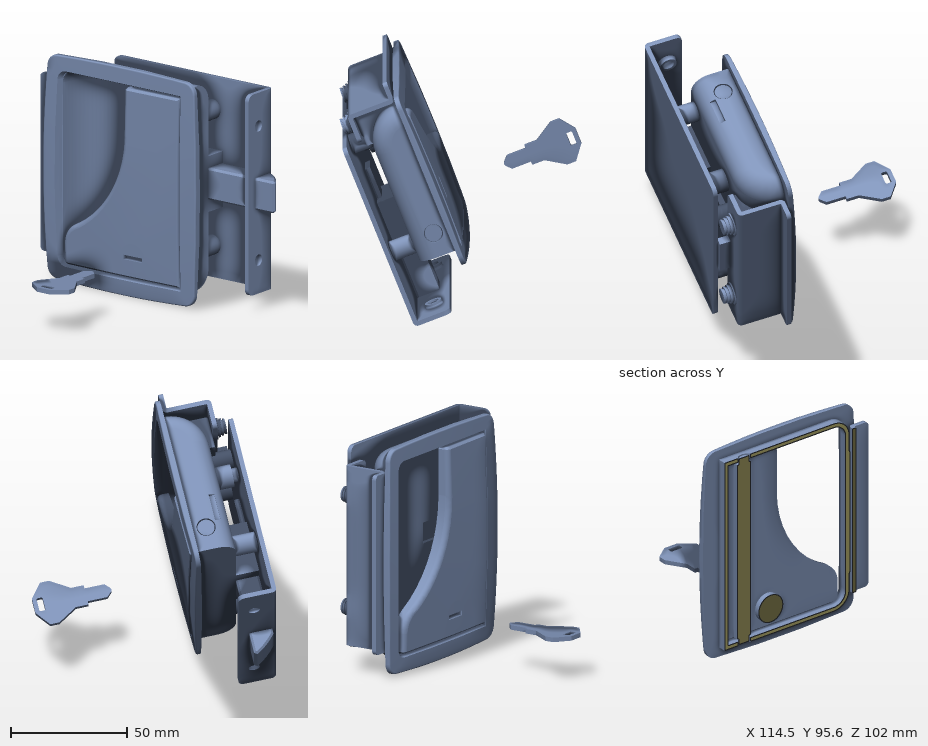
import cadquery as cq
import math


frame_half_x = 39.7
frame_half_z = 49.8
frame_bulge_x = 1.9
frame_bulge_z = 51.0 - frame_half_z
frame_corner = 5.5
frame_edge_round = 0.7
frame_depth = 4.0
crown_radius = 1000.0

pan_left = -35.1
pan_right = 33.0
pan_half_z = 45.6
pan_depth = 17.0
pan_side_radius = 16.9
pan_edge_radius = 8.1
pan_wall = 2.0
cavity_half_z = 43.6

opening_left = -34.3
opening_half_z = 44.3
opening_bulge = 0.9
opening_corner = 5.0
opening_taper = 22.0

handle_right = 32.3
handle_half_z = 42.3
handle_depth = 4.4
handle_back = 1.5
handle_rebate = 1.7
handle_upper_left = 2.7
handle_lower_left = -30.3
handle_bend_top_z = 20.9
handle_bend_start = (-24.7, -23.9)
handle_bend_end_z = -33.2
handle_grip_round = 2.2
handle_bevel = 0.9

hinge_x = 22.4
hinge_y = 6.3
hinge_radius = 3.7
hinge_hole_radius = 4.1
hinge_half_length = 45.2

lock_x = 7.9
lock_z = -33.15
lock_radius = 6.6
lock_back = 12.0
key_thickness = 2.0
keyway_width = 10.0
keyway_depth = 3.0
key_tip_y = -32.05

sheet = 2.0
plate_back = 29.2
plate_front = plate_back - sheet
plate_left = -26.2
plate_right = 58.5
plate_half_z = 44.9
plate_corner = 3.0
plate_bend = 2.0
flange_front = 12.3
flange_inner = plate_right - sheet

collar_y = 19.2
collar_z = 30.0
collar_height = 2.0
collar_base_radius = 4.1
collar_tip_radius = 3.75
collar_hole_radius = 2.5

bracket_left = -46.0
bracket_half_z = 39.9
bracket_lip_front = 0.9
bracket_web_left = -38.4
bracket_foot_right = -25.1
bracket_bend = 2.0
bracket_corner = 2.0
seat_y = 20.3
seat_right = -20.3
seat_half_z = 30.0
seat_round = 1.0
tab_left = -28.6
tab_half_z = 9.45

screw_x = -31.0
screw_z = 25.0
screw_shank_radius = 2.5
screw_depth = 6.0
screw_flange_radius = 5.0
screw_flange_height = 0.6
screw_ridges = 3
screw_ridge_radius = 4.2
screw_ridge_step = 0.4
screw_groove_depth = 0.4

bolt_half_z = 7.15
bolt_tip = 68.5
bolt_slope_start = 60.6
bolt_nose = 1.3
bolt_slope_bow = 0.4
bolt_edge = 0.9
bolt_tail_left = -4.6
bolt_tail_thickness = 2.3
bolt_tail_edge = 0.7
guide_left = 9.4
guide_half_z = 12.5

post_radius = 4.4
post_places = [(27.2, 30.3), (27.2, -30.3), (-19.0, 16.5), (-20.6, -18.6)]
pivot_place = (-7.7, 25.0)
pivot_radius = 5.0
pivot_stud_radius = 3.1
pivot_shoulder_y = 24.6
ledge_y = 19.6
ledge_left = -20.3
ledge_half_z = 9.0

window_left = 10.7
window_right = 24.0
window_half_z = 4.6
slot_left = 7.6
slot_right = 19.9
slot_front = 10.8
slot_back = 13.3
slot_floor_z = 43.8


def block(x0, x1, y0, y1, z0, z1):
    """Box given by its limits on each axis."""
    return cq.Workplane("XY").box(x1 - x0, y1 - y0, z1 - z0, centered=False).translate((x0, y0, z0))


def rod(x, z, radius, y0, y1):
    """Round bar along Y from y0 to y1."""
    return cq.Workplane("XZ", origin=(x, y0, z)).circle(radius).extrude(-(y1 - y0))


def upright(x, y, radius, half_length):
    """Round bar along Z, centred on Z = 0."""
    return cq.Workplane("XY", origin=(x, y, -half_length)).circle(radius).extrude(2 * half_length)


def crown(front):
    """Large ball whose foremost point lies at Y = -front."""
    return cq.Workplane("XY", origin=(0, crown_radius - front, 0)).sphere(crown_radius)


def make_frame():
    """Bulged rim with rounded corners and a crowned front."""
    x, z = frame_half_x, frame_half_z
    rim = (
        cq.Workplane("XZ")
        .moveTo(-x, -z)
        .threePointArc((0, -z - frame_bulge_z), (x, -z))
        .threePointArc((x + frame_bulge_x, 0), (x, z))
        .threePointArc((0, z + frame_bulge_z), (-x, z))
        .threePointArc((-x - frame_bulge_x, 0), (-x, -z))
        .close()
        .extrude(frame_depth)
        .edges("|Y")
        .fillet(frame_corner)
        .intersect(crown(frame_depth))
    )
    return rim.faces("<Y").edges().fillet(frame_edge_round)


def make_pan_form(left, right, depth, half_z, side_radius, edge_radius):
    """Pan-shaped solid: swept round on the left side and rounded along the top and bottom."""
    mid = side_radius * (1 - math.sqrt(0.5))
    form = (
        cq.Workplane("XY", origin=(0, 0, -half_z))
        .moveTo(left, 0)
        .lineTo(left, depth - side_radius)
        .threePointArc((left + mid, depth - mid), (left + side_radius, depth))
        .lineTo(right, depth)
        .lineTo(right, 0)
        .close()
        .extrude(2 * half_z)
    )
    back_edges = cq.selectors.BoxSelector(
        (left - 1, 1, -half_z - 1), (right - 1, depth + 1, half_z + 1)
    )
    return form.faces("|Z").edges(back_edges).edges("not <Y").fillet(edge_radius)


def make_opening():
    """Tapered front opening with a bulged left side and a straight right side."""
    left, z = opening_left, opening_half_z
    spare = 5.0
    tapered = (
        cq.Workplane("XZ", origin=(0, -frame_depth, 0))
        .sketch()
        .segment((pan_right + spare, -z), (pan_right + spare, z))
        .segment((left, z))
        .arc((left - opening_bulge, 0), (left, -z))
        .close()
        .assemble()
        .vertices("<X")
        .fillet(opening_corner)
        .finalize()
        .extrude(-frame_depth, taper=opening_taper)
    )
    return tapered.intersect(block(left - spare, pan_right, -frame_depth, 0, -z, z))


def make_housing():
    """Frame, pan, bracket seat, bolt guide and posts as one casting."""
    pan = make_pan_form(pan_left, pan_right, pan_depth, pan_half_z, pan_side_radius, pan_edge_radius)
    seat = block(pan_left, seat_right, 0, seat_y, -seat_half_z, seat_half_z)
    seat = seat.edges("(|Y or >Y) and (not >X)").fillet(seat_round)
    post_root = pan_depth - pan_wall
    ledge = block(ledge_left, guide_left, post_root, ledge_y, -ledge_half_z, ledge_half_z)
    guide = block(guide_left, pan_right, post_root, plate_front, -guide_half_z, guide_half_z)
    body = make_frame().union(pan).union(seat).union(ledge).union(guide)

    for x, z in post_places:
        body = body.union(rod(x, z, post_radius, post_root, plate_front))
    body = body.union(rod(*pivot_place, pivot_radius, post_root, pivot_shoulder_y))
    body = body.union(rod(*pivot_place, pivot_stud_radius, post_root, plate_front))

    cavity = make_pan_form(
        pan_left + pan_wall,
        pan_right - pan_wall,
        pan_depth - pan_wall,
        cavity_half_z,
        pan_side_radius - pan_wall,
        pan_edge_radius - pan_wall,
    )
    bolt_way = block(guide_left, pan_right, pan_depth, plate_front, -bolt_half_z, bolt_half_z)
    window = block(window_left, window_right, 0, pan_depth, -window_half_z, window_half_z)
    slot = block(slot_left, slot_right, slot_front, slot_back, slot_floor_z, pan_half_z)
    hinge_hole = upright(hinge_x, hinge_y, hinge_hole_radius, pan_half_z)
    for cutter in (cavity, make_opening(), bolt_way, window, slot, hinge_hole):
        body = body.cut(cutter)
    for side in (-1, 1):
        body = body.cut(rod(screw_x, side * screw_z, screw_shank_radius, seat_y - screw_depth, seat_y))
    return body


def make_handle():
    """Paddle with a swept grip edge and a hinge barrel behind it."""
    bend_x, bend_z = handle_bend_start
    outline = (
        cq.Workplane("XZ", origin=(0, handle_back, 0))
        .moveTo(handle_right, -handle_half_z)
        .lineTo(handle_right, handle_half_z)
        .lineTo(handle_upper_left, handle_half_z)
        .lineTo(handle_upper_left, handle_bend_top_z)
        .tangentArcPoint((bend_x, bend_z), relative=False)
        .tangentArcPoint((handle_lower_left, handle_bend_end_z), relative=False)
        .lineTo(handle_lower_left, -handle_half_z)
        .close()
    )
    plate = outline.extrude(handle_depth + handle_back).intersect(crown(handle_depth))
    rebate = block(
        handle_right - handle_rebate, handle_right, 0, handle_back,
        -handle_half_z, handle_half_z,
    )
    plate = plate.cut(rebate)
    grip_side = cq.selectors.BoxSelector(
        (handle_lower_left - 1, -handle_depth - 1, 1 - handle_half_z),
        (handle_upper_left + 1, 0, handle_half_z - 1),
    )
    plate = plate.faces("<Y").edges(grip_side).fillet(handle_grip_round)
    plate = plate.faces("<Y").edges(">X or >Z or <Z").chamfer(handle_bevel)
    web = block(
        hinge_x - hinge_radius, hinge_x + hinge_radius, 0, hinge_y,
        -handle_half_z, handle_half_z,
    )
    barrel = upright(hinge_x, hinge_y, hinge_radius, hinge_half_length)
    lock_hole = rod(lock_x, lock_z, lock_radius, -handle_depth, handle_back)
    return plate.union(web).union(barrel).cut(lock_hole)


def make_lock_cylinder():
    """Lock plug flush with the handle, with a keyway in its face."""
    plug = rod(lock_x, lock_z, lock_radius, -handle_depth, lock_back).intersect(crown(handle_depth))
    keyway = block(
        lock_x - keyway_width / 2, lock_x + keyway_width / 2,
        -handle_depth, keyway_depth - handle_depth,
        lock_z - key_thickness / 2, lock_z + key_thickness / 2,
    )
    return plug.cut(keyway)


def make_key():
    """Flat key pointing at the lock; half outline as (half width, distance from the tip)."""
    half_outline = [
        (0.8, 0.3), (3.1, 2.5), (3.1, 11.2), (4.65, 11.2),
        (4.65, 16.8), (10.05, 25.3), (10.05, 29.3), (3.5, 34.3),
    ]
    ring_length, ring_width, ring_corner, ring_distance = 6.2, 2.7, 0.6, 31.1
    right = [(x, -y) for x, y in half_outline]
    left = [(-x, y) for x, y in reversed(right)]
    blank = (
        cq.Workplane("XY")
        .polyline([(0, 0)] + right + left)
        .close()
        .extrude(key_thickness)
    )
    ring_slot = (
        cq.Workplane("XY", origin=(0, -ring_distance, 0))
        .rect(ring_length, ring_width)
        .extrude(key_thickness)
        .edges("|Z")
        .fillet(ring_corner)
    )
    return blank.cut(ring_slot).translate((lock_x, key_tip_y, lock_z - key_thickness / 2))


def make_back_plate():
    """Angle plate with two drawn collars and a bolt hole in its flange."""
    plate = block(plate_left, plate_right, plate_front, plate_back, -plate_half_z, plate_half_z)
    plate = plate.edges("|Y and <X").fillet(plate_corner)
    flange = block(flange_inner, plate_right, flange_front, plate_back, -plate_half_z, plate_half_z)
    flange = flange.edges("|X and <Y").fillet(plate_corner)
    angle = plate.union(flange).edges("|Z and >X and >Y").fillet(plate_bend)
    angle = angle.cut(
        block(flange_inner, plate_right, pan_depth, plate_front, -bolt_half_z, bolt_half_z)
    )
    for side in (-1, 1):
        centre = (flange_inner, collar_y, side * collar_z)
        flare = cq.Solid.makeCone(
            collar_base_radius, collar_tip_radius, collar_height / 2,
            cq.Vector(*centre), cq.Vector(-1, 0, 0),
        )
        neck = cq.Workplane("YZ", origin=centre).circle(collar_tip_radius).extrude(-collar_height)
        hole = (
            cq.Workplane("YZ", origin=centre)
            .circle(collar_hole_radius)
            .extrude(collar_height + sheet, both=True)
        )
        angle = angle.union(neck).union(cq.Workplane(flare)).cut(hole)
    return angle


def make_bracket():
    """Z-shaped clamp bracket: front lip, web, and a foot with an upright tab."""
    z = bracket_half_z
    web_right = bracket_web_left + sheet
    foot_back = seat_y + sheet
    lip = block(bracket_left, web_right, bracket_lip_front, bracket_lip_front + sheet, -z, z)
    lip = lip.edges("|Y and <X").fillet(bracket_corner)
    foot = block(bracket_web_left, bracket_foot_right, seat_y, foot_back, -z, z)
    foot = foot.edges("|Y and >X").fillet(bracket_corner)
    web = block(bracket_web_left, web_right, bracket_lip_front, foot_back, -z, z)
    bracket = lip.union(web).union(foot)
    outer_bends = [(web_right, bracket_lip_front), (bracket_web_left, foot_back)]
    for x, y in outer_bends:
        bracket = bracket.edges(cq.selectors.NearestToPointSelector((x, y, 0))).fillet(bracket_bend)
    bracket = bracket.union(
        block(tab_left, bracket_foot_right, seat_y, plate_front, -tab_half_z, tab_half_z)
    )
    for side in (-1, 1):
        bracket = bracket.cut(rod(screw_x, side * screw_z, screw_shank_radius, seat_y, foot_back))
    return bracket


def make_screw(z):
    """Clamp screw: plain shank, thin flange and a tapering ridged head."""
    foot_back = seat_y + sheet
    flange_top = foot_back + screw_flange_height
    head_top = plate_front
    screw = rod(screw_x, z, screw_shank_radius, seat_y - screw_depth, foot_back)
    screw = screw.union(rod(screw_x, z, screw_flange_radius, foot_back, flange_top))
    pitch = (head_top - flange_top) / screw_ridges
    for ridge in range(screw_ridges):
        radius = screw_ridge_radius - ridge * screw_ridge_step
        start = flange_top + ridge * pitch
        middle = start + pitch / 2
        screw = screw.union(rod(screw_x, z, radius - screw_groove_depth, start, middle))
        screw = screw.union(rod(screw_x, z, radius, middle, start + pitch))
    return screw


def make_bolt():
    """Spring bolt with a bowed slope at its tip and a thin tail."""
    middle_x = (bolt_slope_start + bolt_tip) / 2 + bolt_slope_bow
    middle_y = (plate_front + pan_depth + bolt_nose) / 2 + bolt_slope_bow
    bar = (
        cq.Workplane("XY", origin=(0, 0, -bolt_half_z))
        .moveTo(guide_left, pan_depth)
        .lineTo(bolt_tip - bolt_edge, pan_depth)
        .lineTo(bolt_tip, pan_depth + bolt_nose)
        .threePointArc((middle_x, middle_y), (bolt_slope_start, plate_front))
        .lineTo(guide_left, plate_front)
        .close()
        .extrude(2 * bolt_half_z)
        .faces("|Z")
        .edges("not <X")
        .chamfer(bolt_edge)
    )
    tail = block(
        bolt_tail_left, guide_left, plate_front - bolt_tail_thickness, plate_front,
        bolt_edge - bolt_half_z, bolt_half_z - bolt_edge,
    )
    tail = tail.edges("|X").chamfer(bolt_tail_edge)
    return bar.union(tail)


housing = make_housing()
handle = make_handle()
lock_cylinder = make_lock_cylinder()
key = make_key()
back_plate = make_back_plate()
bracket = make_bracket()
bolt = make_bolt()
screws = [make_screw(side * screw_z) for side in (-1, 1)]

result = cq.Compound.makeCompound(
    [
        housing.val(),
        handle.val(),
        lock_cylinder.val(),
        key.val(),
        back_plate.val(),
        bracket.val(),
        bolt.val(),
        *[screw.val() for screw in screws],
    ]
)